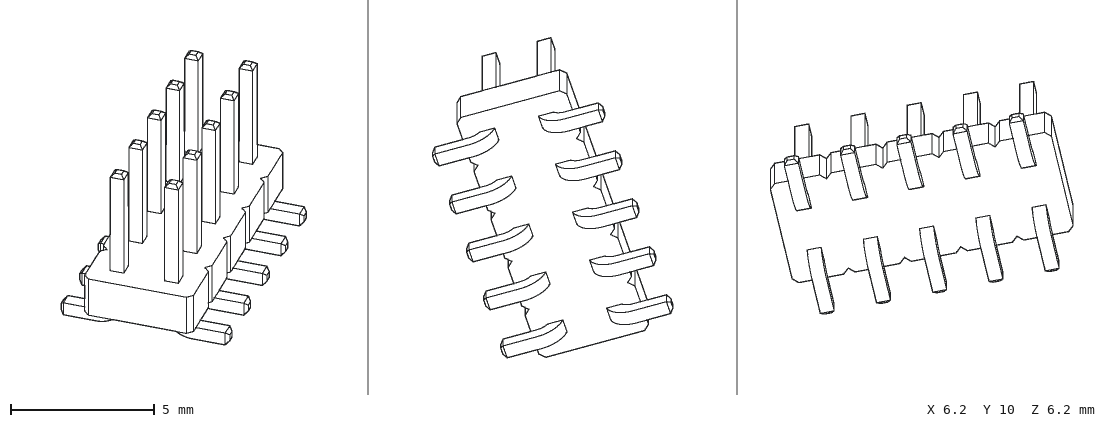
import cadquery as cq

pitch = 2.0
row_count = 5
column_count = 2

body_width = column_count * pitch
body_bottom = 0.7
body_height = 1.5
corner_cut = 0.2

pin_size = 0.5
pin_top = 6.2
foot_reach = 3.1
inner_bend_radius = 0.5
tip_chamfer = pin_size / 4


def make_segment(y):
    """One pitch of the body; its cut corners form V notches with its neighbours."""
    return (
        cq.Workplane("XY")
        .box(body_width, pitch, body_height, centered=(True, True, False))
        .edges("|Z")
        .chamfer(corner_cut)
        .translate((0, y, body_bottom))
    )


def make_pin():
    """Pin of the +X column: a vertical post, a quarter bend and a foot along +X."""
    outer_bend_radius = inner_bend_radius + pin_size
    post_center = pitch / 2
    bend_center = post_center - pin_size / 2 + outer_bend_radius
    path = (
        cq.Workplane("XZ")
        .moveTo(post_center, pin_top)
        .lineTo(post_center, outer_bend_radius)
        .radiusArc((bend_center, pin_size / 2), -(inner_bend_radius + pin_size / 2))
        .lineTo(foot_reach, pin_size / 2)
    )
    return (
        cq.Workplane("XY", origin=(post_center, 0, pin_top))
        .rect(pin_size, pin_size)
        .sweep(path)
        .faces(">Z or >X")
        .chamfer(tip_chamfer)
    )


right_pin = make_pin()
left_pin = right_pin.mirror("YZ")

row_positions = [(row - (row_count - 1) / 2) * pitch for row in range(row_count)]

result = make_segment(row_positions[0])
for y in row_positions[1:]:
    result = result.union(make_segment(y))

for y in row_positions:
    for pin in (left_pin, right_pin):
        result = result.union(pin.translate((0, y, 0)))

result = result.clean()